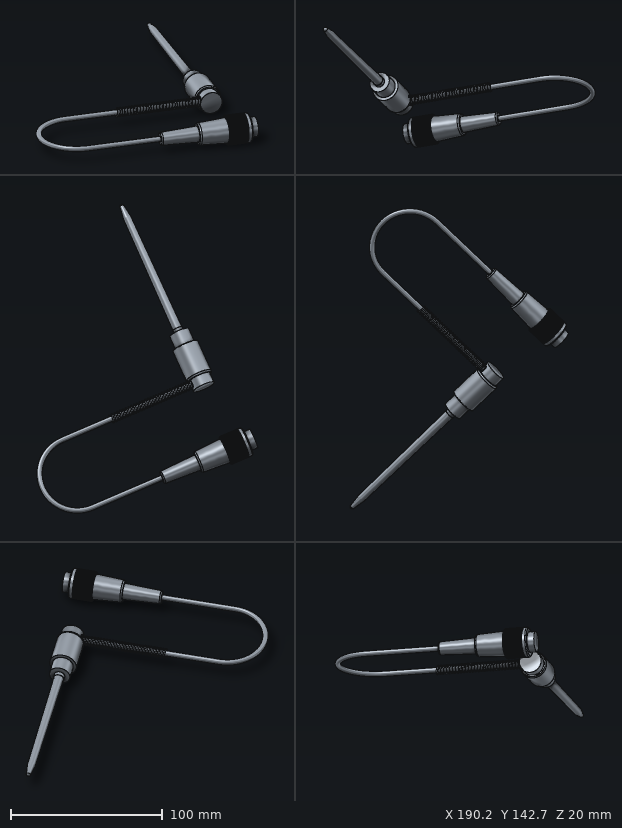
import cadquery as cq
import math

overall_length = 190.2
nut_diameter = 20.0
overall_width = 142.7
plug_x = overall_length - nut_diameter / 2
cable_x = 130.3
bend_radius = (plug_x - cable_x) / 2

tip_diameter = 3.0
dome_length = 1.0
cone_length = 10.0
rod_front_diameter = 5.5
rod_rear_diameter = 6.7
collar_x = 92.0
collar_diameter = 7.0

handle_front_x = 95.0
sleeve_x = 105.0
sleeve_end_x = 128.0
handle_end_x = 135.0
handle_front_diameter = 13.9
sleeve_diameter = 18.0
cap_diameter = 15.0
sleeve_chamfer_length = 1.3
sleeve_chamfer_drop = 0.5
screw_hole_diameter = 1.48
screw_hole_depth = 1.9
screw_hole_x = 124.0

cable_diameter = 3.8
cable_start_y = -3.8
plug_socket_depth = 5.7

wire_diameter = 1.0
spring_diameter = 6.3
spring_length = 58.0
spring_turns = 29
spring_pitch = spring_length / spring_turns
spring_start_y = -6.8
spring_seat_diameter = 7.0
spring_seat_y = spring_start_y + wire_diameter / 2

plug_front_y = 16.0
plug_front_diameter = 13.5
nut_front_y = 11.5
nut_rear_y = -4.8
nut_chamfer = 0.8
boot_diameter = 17.1
boot_shoulder_diameter = 15.0
boot_shoulder_y = -24.4
boot_chamfer_length = 1.1
boot_chamfer_drop = 0.5
tail_diameter = 11.0
tail_end_diameter = 9.0
tail_chamfer_length = 1.0
tail_chamfer_drop = 0.5
tail_end_y = -50.0
knurl_front_y = 8.4
knurl_tooth_count = 90
knurl_depth = 0.5

bend_y = plug_front_y - overall_width + bend_radius + cable_diameter / 2


def turned_along_x(profile):
    """Solid of revolution about the X axis from (x, diameter) corners."""
    corners = [(x, diameter / 2) for x, diameter in profile]
    outline = [(profile[0][0], 0)] + corners + [(profile[-1][0], 0)]
    return cq.Workplane("XY").polyline(outline).close().revolve(360, (0, 0, 0), (1, 0, 0))


def turned_along_plug_axis(profile):
    """Solid of revolution about the plug axis from (y, diameter) corners."""
    corners = [(plug_x + diameter / 2, y) for y, diameter in profile]
    outline = [(plug_x, profile[0][0])] + corners + [(plug_x, profile[-1][0])]
    return cq.Workplane("XY").polyline(outline).close().revolve(360, (plug_x, 0, 0), (plug_x, 1, 0))


def cylinder_down(x, top_y, bottom_y, diameter):
    """Cylinder parallel to Y between two heights in Y."""
    plane = cq.Workplane("XZ", origin=(x, top_y, 0))
    return plane.circle(diameter / 2).extrude(top_y - bottom_y)


def make_dome():
    """Cap of a sphere whose rim is the small end of the probe cone."""
    rim_radius = tip_diameter / 2
    sphere_radius = (rim_radius ** 2 + dome_length ** 2) / (2 * dome_length)
    half_angle = math.asin(rim_radius / sphere_radius) / 2
    arc_middle = (sphere_radius * (1 - math.cos(half_angle)), sphere_radius * math.sin(half_angle))
    outline = (
        cq.Workplane("XY")
        .threePointArc(arc_middle, (dome_length, rim_radius))
        .lineTo(dome_length, 0)
        .close()
    )
    return outline.revolve(360, (0, 0, 0), (1, 0, 0))


def make_probe():
    rod = turned_along_x([
        (dome_length, tip_diameter),
        (cone_length, rod_front_diameter),
        (collar_x, rod_rear_diameter),
        (collar_x, collar_diameter),
        (handle_front_x, collar_diameter),
    ])
    return rod.union(make_dome())


def make_handle():
    handle = turned_along_x([
        (handle_front_x, handle_front_diameter),
        (sleeve_x, handle_front_diameter),
        (sleeve_x, sleeve_diameter),
        (sleeve_end_x - sleeve_chamfer_length, sleeve_diameter),
        (sleeve_end_x, sleeve_diameter - 2 * sleeve_chamfer_drop),
        (sleeve_end_x, cap_diameter),
        (handle_end_x, cap_diameter),
    ])
    sleeve_bottom_y = -sleeve_diameter / 2
    spring_seat = cylinder_down(cable_x, spring_seat_y, sleeve_bottom_y, spring_seat_diameter)
    cable_socket = cylinder_down(cable_x, cable_start_y, sleeve_bottom_y, cable_diameter)
    screw_hole = cylinder_down(
        screw_hole_x, sleeve_bottom_y + screw_hole_depth, sleeve_bottom_y, screw_hole_diameter
    )
    return handle.cut(spring_seat).cut(cable_socket).cut(screw_hole)


def make_cable():
    path = (
        cq.Workplane("XY")
        .moveTo(cable_x, cable_start_y)
        .lineTo(cable_x, bend_y)
        .threePointArc((cable_x + bend_radius, bend_y - bend_radius), (plug_x, bend_y))
        .lineTo(plug_x, tail_end_y + plug_socket_depth)
    )
    start = cq.Workplane("XZ", origin=(cable_x, cable_start_y, 0))
    return start.circle(cable_diameter / 2).sweep(path)


def make_spring():
    """Left-handed coil, wound along Z and then laid along -Y."""
    coil_radius = (spring_diameter - wire_diameter) / 2
    helix = cq.Wire.makeHelix(spring_pitch, spring_length, coil_radius, lefthand=True)
    helix = helix.rotate(cq.Vector(0, 0, 0), cq.Vector(0, 0, 1), 180)
    wire_section = cq.Workplane("XZ").center(-coil_radius, 0).circle(wire_diameter / 2)
    coil = wire_section.sweep(cq.Workplane(helix), isFrenet=True)
    return coil.rotate((0, 0, 0), (1, 0, 0), 90).translate((cable_x, spring_start_y, 0))


def make_plug():
    plug = turned_along_plug_axis([
        (plug_front_y, plug_front_diameter),
        (nut_rear_y, plug_front_diameter),
        (nut_rear_y, boot_diameter),
        (boot_shoulder_y + boot_chamfer_length, boot_shoulder_diameter),
        (boot_shoulder_y, boot_shoulder_diameter - 2 * boot_chamfer_drop),
        (boot_shoulder_y, tail_diameter),
        (tail_end_y + tail_chamfer_length, tail_end_diameter),
        (tail_end_y, tail_end_diameter - 2 * tail_chamfer_drop),
    ])
    cable_socket = cylinder_down(plug_x, tail_end_y + plug_socket_depth, tail_end_y, cable_diameter)
    return plug.cut(cable_socket)


def make_nut():
    """Ring around the front of the plug: a plain rim and a grip with straight axial teeth."""
    blank = turned_along_plug_axis([
        (nut_front_y, nut_diameter - 2 * nut_chamfer),
        (nut_front_y - nut_chamfer, nut_diameter),
        (nut_rear_y + nut_chamfer, nut_diameter),
        (nut_rear_y, nut_diameter - 2 * nut_chamfer),
    ])
    crest_radius = nut_diameter / 2
    root_radius = crest_radius - knurl_depth
    tooth_outline = []
    for step in range(2 * knurl_tooth_count):
        radius = crest_radius if step % 2 == 0 else root_radius
        angle = math.pi * step / knurl_tooth_count
        tooth_outline.append((radius * math.cos(angle), radius * math.sin(angle)))
    rim = cylinder_down(plug_x, nut_front_y, knurl_front_y, nut_diameter)
    grip_plane = cq.Workplane("XZ", origin=(plug_x, knurl_front_y, 0))
    grip = grip_plane.polyline(tooth_outline).close().extrude(knurl_front_y - nut_rear_y)
    bore = cylinder_down(plug_x, nut_front_y, nut_rear_y, plug_front_diameter)
    return rim.union(grip).intersect(blank).cut(bore)


probe = make_probe()
handle = make_handle()
spring = make_spring()
cable = make_cable()
plug = make_plug()
nut = make_nut()

result = cq.Compound.makeCompound(
    [probe.val(), handle.val(), spring.val(), cable.val(), plug.val(), nut.val()]
)